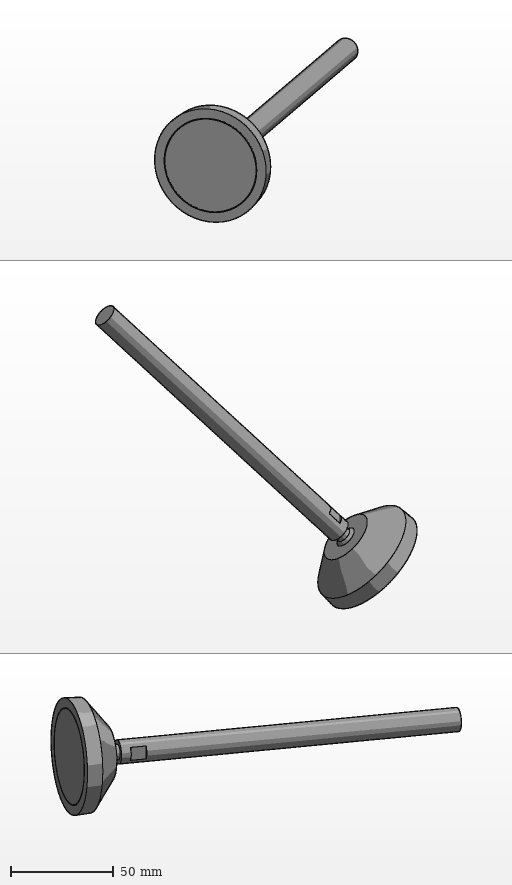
import cadquery as cq
import math

overall_length = 200.0

sole_diameter = 58.0
rim_draft_angle = 3.0
rim_height = 8.0
rim_diameter = sole_diameter - 2 * rim_height * math.tan(math.radians(rim_draft_angle))
foot_top_diameter = 28.0
foot_height = 20.0

pad_diameter = 47.5
groove_outer_diameter = 48.0
groove_depth = 1.0

rod_diameter = 12.0
rod_start = 25.0
neck_diameter = 7.8
ball_diameter = 14.0
neck_start = 21.5

flat_start = 30.0
flat_length = 8.0
across_flats = 10.0

ball_radius = ball_diameter / 2
neck_radius = neck_diameter / 2
ball_centre = neck_start - math.sqrt(ball_radius**2 - neck_radius**2)


def make_spindle():
    """Rod, neck and ball turned in one piece, with two wrench flats."""
    rod_radius = rod_diameter / 2
    spindle = (
        cq.Workplane("XY")
        .moveTo(0, ball_centre - ball_radius)
        .threePointArc((ball_radius, ball_centre), (neck_radius, neck_start))
        .lineTo(neck_radius, rod_start)
        .lineTo(rod_radius, rod_start)
        .lineTo(rod_radius, overall_length)
        .lineTo(0, overall_length)
        .close()
        .revolve(360, (0, 0, 0), (0, 1, 0))
    )
    for side in (-1, 1):
        flat_cutter = cq.Workplane("XY").box(rod_diameter, flat_length, rod_diameter)
        flat_offset = side * (across_flats + rod_diameter) / 2
        spindle = spindle.cut(flat_cutter.translate((flat_offset, flat_start + flat_length / 2, 0)))
    return spindle


def make_foot():
    """Conical foot with a tapered rim, a ball socket and a ring groove in the sole."""
    foot = (
        cq.Workplane("XY")
        .polyline([
            (0, 0),
            (sole_diameter / 2, 0),
            (rim_diameter / 2, rim_height),
            (foot_top_diameter / 2, foot_height),
            (0, foot_height),
        ])
        .close()
        .revolve(360, (0, 0, 0), (0, 1, 0))
    )
    groove = (
        cq.Workplane("XZ")
        .circle(groove_outer_diameter / 2)
        .circle(pad_diameter / 2)
        .extrude(-groove_depth)
    )
    socket = cq.Workplane("XY").sphere(ball_radius).translate((0, ball_centre, 0))
    return foot.cut(groove).cut(socket)


spindle = make_spindle()
foot = make_foot()

result = cq.Compound.makeCompound([foot.val(), spindle.val()])